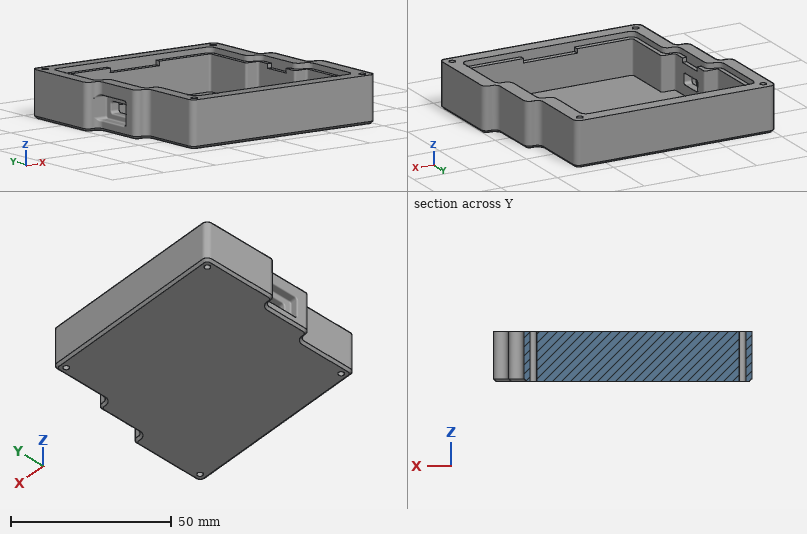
import cadquery as cq
length_x = 80.7
height = 15.65
row_height = 19.0
stagger = row_height / 4
width = length_x - 2 * stagger
half_width = width / 2
body_corner_radius = 2.0
body_step_shift = 2.75
bottom_chamfer = 0.9

hollow_offset_x = -0.25
hollow_offset_y = 0.2

seat_half = 30.8
seat_step_shift = 1.85
seat_corner_radius = 2.2
seat_depth = 1.85

cavity_half_x = 29.3
cavity_half_y = 29.0
cavity_step_shift = 0.8
cavity_corner_radius = 0.7
floor_thickness = 1.8

notch_depth = 1.45
long_notch = row_height
short_notch = row_height / 2

screw_hole_diameter = 2.0
screw_hole_inset = 3.0

port_z = 7.35
recess_width = 14.0
recess_height = 8.0
recess_depth = 3.0
port_corner_radius = 1.0
port_edge_radius = 0.5
opening_width = 8.95
opening_height = 3.9


def stepped_prism(half_x, half_y, step_shift, corner_radius, z_bottom, z_top):
    """Staggered three-row prism with rounded vertical edges, symmetric about the Z axis."""
    boundary = row_height / 2
    right_side = [
        (stagger + half_x, -half_y),
        (stagger + half_x, step_shift - boundary),
        (half_x, step_shift - boundary),
        (half_x, step_shift + boundary),
        (half_x - stagger, step_shift + boundary),
        (half_x - stagger, half_y),
    ]
    left_side = [(-x, -y) for x, y in right_side]
    prism = cq.Workplane("XY", origin=(0, 0, z_bottom)).polyline(right_side + left_side).close()
    return prism.extrude(z_top - z_bottom).edges("|Z").fillet(corner_radius)


def port_bar(y_min, y_max, size_z, x_start, depth):
    """Bar along +X at the height of the port, with rounded corners."""
    plane = cq.Workplane("YZ", origin=(x_start, (y_min + y_max) / 2, port_z))
    bar = plane.rect(y_max - y_min, size_z).extrude(depth)
    return bar.edges("|X").fillet(port_corner_radius)


def make_body():
    body = stepped_prism(half_width, half_width, body_step_shift, body_corner_radius, 0, height)
    return body.faces("<Z").chamfer(bottom_chamfer)


def make_cavity():
    seat_z = height - seat_depth
    seat = stepped_prism(seat_half, seat_half, seat_step_shift, seat_corner_radius, seat_z, height)
    cavity = stepped_prism(
        cavity_half_x, cavity_half_y, cavity_step_shift, cavity_corner_radius, floor_thickness, height
    )
    cavity = cavity.union(seat)
    overlap = 0.8
    notch_y = seat_half - cavity_half_y + overlap
    notch_x = seat_half - cavity_half_x + overlap
    notch_z = seat_z - notch_depth / 2
    for side in (1, -1):
        end_notch = cq.Workplane("XY").box(long_notch, notch_y, notch_depth)
        end_centre = (-side * stagger, side * (seat_half - notch_y / 2), notch_z)
        cavity = cavity.union(end_notch.translate(end_centre))
        side_notch = cq.Workplane("XY").box(notch_x, short_notch, notch_depth)
        side_centre = (side * (seat_half - notch_x / 2), side * cavity_step_shift, notch_z)
        cavity = cavity.union(side_notch.translate(side_centre))
    return cavity.translate((hollow_offset_x, hollow_offset_y, 0))


def make_screw_holes():
    reach = half_width - screw_hole_inset
    centres = [
        (side_x * reach - side_y * stagger, side_y * reach)
        for side_x in (1, -1)
        for side_y in (1, -1)
    ]
    return cq.Workplane("XY").pushPoints(centres).circle(screw_hole_diameter / 2).extrude(height)


def add_port(case):
    """Cut the recess and its opening, then round both rims."""
    wall_x = -half_width
    floor_x = wall_x + recess_depth
    recess_x = wall_x - body_corner_radius
    step_y = row_height / 2 - body_step_shift
    recess = port_bar(-recess_width / 2, step_y, recess_height, recess_x, floor_x - recess_x)
    recess = recess.faces(">X").edges().fillet(port_edge_radius)
    opening = port_bar(-opening_width / 2, opening_width / 2, opening_height, floor_x, half_width / 4)
    case = case.cut(recess).cut(opening)
    margin = 0.1
    for rim_x, rim_width, rim_height in (
        (wall_x, recess_width, recess_height),
        (floor_x, opening_width, opening_height),
    ):
        reach_y = rim_width / 2 + margin
        reach_z = rim_height / 2 + margin
        rim = cq.selectors.BoxSelector(
            (rim_x - margin, -reach_y, port_z - reach_z),
            (rim_x + margin, reach_y, port_z + reach_z),
            boundingbox=True,
        )
        case = case.edges(rim).fillet(port_edge_radius)
    return case


result = add_port(make_body().cut(make_cavity()).cut(make_screw_holes()))